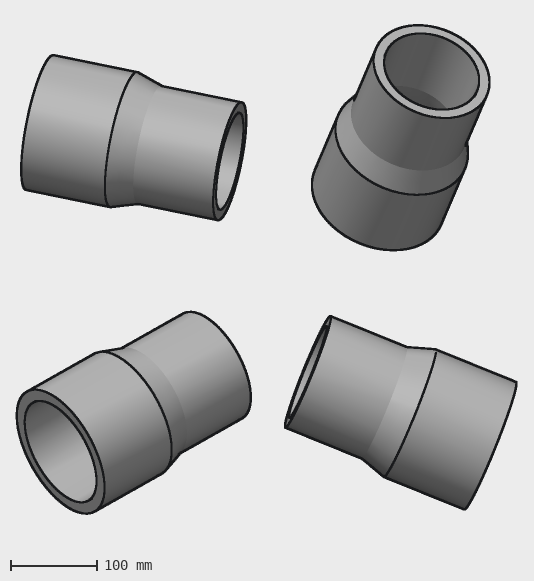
import cadquery as cq

total_length = 229.0
large_diameter = 160.0
large_wall = 14.7
large_length = 101.2
small_diameter = 140.0
small_wall = 12.5
taper_length = 31.5

large_radius = large_diameter / 2
small_radius = small_diameter / 2
taper_end = large_length + taper_length


def stepped_cone(start_radius, end_radius):
    """Solid of two cylinders joined by a straight cone."""
    return (
        cq.Workplane("XY")
        .moveTo(0, 0)
        .lineTo(0, start_radius)
        .lineTo(large_length, start_radius)
        .lineTo(taper_end, end_radius)
        .lineTo(total_length, end_radius)
        .lineTo(total_length, 0)
        .close()
        .revolve(360, (0, 0, 0), (1, 0, 0))
    )


outer_body = stepped_cone(large_radius, small_radius)
bore = stepped_cone(large_radius - large_wall, small_radius - small_wall)

result = outer_body.cut(bore)